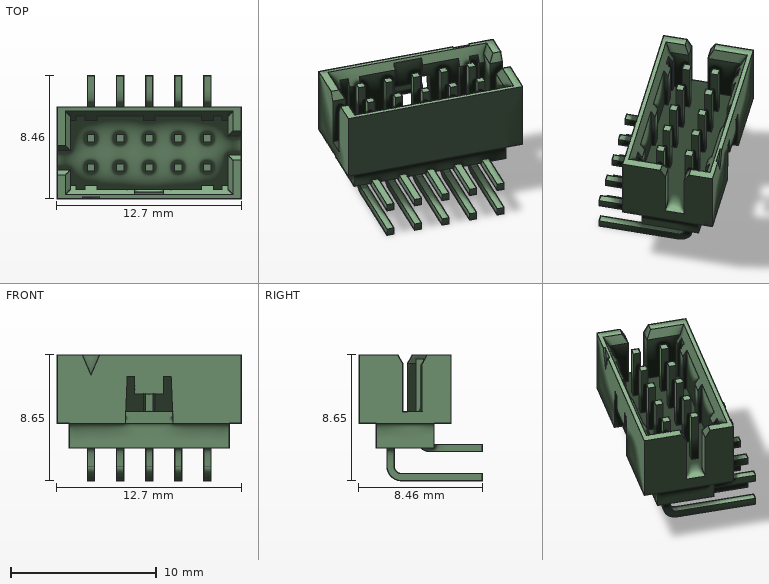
import cadquery as cq
import math


shroud_length = 12.65
shroud_width = 6.32
shroud_height = 4.7
floor_thickness = 0.81

cavity_length = 10.83
cavity_width = 5.03
flare_height = 0.6
flare_angle = 30.0
flare_run = flare_height * math.tan(math.radians(flare_angle))

base_length = 11.0
base_width = 4.0
base_height = 1.71

pin_size = 0.5
pitch = 2.0
pins_per_row = 5
pin_recess = 0.29
pin_top = shroud_height - pin_recess
tail_overhang = 2.14
tail_end = shroud_width / 2 + tail_overhang
pin_bottom = -3.95
bend_inner_radius = 0.49
bend_outer_radius = bend_inner_radius + pin_size

rib_width = 0.81
rib_depth = 0.29
rib_offset = 2 * pitch
corner_rib_start = 5.01

slot_width = 1.33
slot_offset = 0.5

window_height = 3.2
window_bottom_width = 3.29
window_top_width = 3.02
tongue_width = 2.0
tongue_bottom = 2.02
tongue_relief_depth = 0.24
tongue_ramp_top = 2.57

arrow_width = 1.19
arrow_height = 1.38
arrow_depth = 0.13

front_face = -shroud_width / 2
inner_front_face = -cavity_width / 2
row_positions = (-pitch / 2, pitch / 2)
column_positions = [(i - (pins_per_row - 1) / 2) * pitch for i in range(pins_per_row)]


def block(x_min, x_max, y_min, y_max, z_min, z_max):
    """Box given by its limits along each axis."""
    size = (x_max - x_min, y_max - y_min, z_max - z_min)
    return cq.Workplane("XY").box(*size, centered=False).translate((x_min, y_min, z_min))


def make_cavity():
    """Rectangular cavity with the guide ribs left standing on its long walls."""
    half_length = cavity_length / 2
    half_width = cavity_width / 2
    cavity = block(-half_length, half_length, -half_width, half_width, floor_thickness, shroud_height)

    side_spans = [
        (rib_offset - rib_width / 2, rib_offset + rib_width / 2),
        (corner_rib_start, half_length),
    ]
    mirrored_spans = [(-outer, -inner) for inner, outer in side_spans]
    front_spans = side_spans + mirrored_spans
    back_spans = front_spans + [(-rib_width / 2, rib_width / 2)]
    rib_face = half_width - rib_depth
    for x_min, x_max in front_spans:
        cavity = cavity.cut(block(x_min, x_max, -half_width, -rib_face, floor_thickness, shroud_height))
    for x_min, x_max in back_spans:
        cavity = cavity.cut(block(x_min, x_max, rib_face, half_width, floor_thickness, shroud_height))
    return cavity


def make_mouth_flare():
    """Sloped lead-in around the mouth of the cavity."""
    return (
        cq.Workplane("XY", origin=(0, 0, shroud_height))
        .rect(cavity_length + 2 * flare_run, cavity_width + 2 * flare_run)
        .extrude(-flare_height, taper=flare_angle)
    )


def make_rib_slopes():
    """Wedge that carries the slopes of the long walls on down over the tops of the ribs."""
    rib_slope_height = rib_depth / math.tan(math.radians(flare_angle))
    return (
        cq.Workplane("XY", origin=(0, 0, shroud_height - flare_height))
        .rect(cavity_length, cavity_width)
        .workplane(offset=-rib_slope_height)
        .rect(cavity_length, cavity_width - 2 * rib_depth)
        .loft(ruled=True)
    )


def make_end_slot(side):
    """Chamfer-mouthed slot through the end wall; side is -1 for -X and +1 for +X."""
    half_width = slot_width / 2
    shoulder = shroud_height - flare_height
    wall = (shroud_length - cavity_length) / 2
    x_start = -shroud_length / 2 if side < 0 else cavity_length / 2
    return (
        cq.Workplane("YZ", origin=(x_start, side * slot_offset, 0))
        .polyline([
            (-half_width, floor_thickness),
            (half_width, floor_thickness),
            (half_width, shoulder),
            (half_width + flare_run, shroud_height),
            (-half_width - flare_run, shroud_height),
            (-half_width, shoulder),
        ])
        .close()
        .extrude(wall)
    )


def make_latch_window():
    """Tapered window through the front wall, leaving the tongue in its upper part."""
    window = (
        cq.Workplane("XZ", origin=(0, inner_front_face, 0))
        .polyline([
            (-window_bottom_width / 2, 0),
            (window_bottom_width / 2, 0),
            (window_top_width / 2, window_height),
            (-window_top_width / 2, window_height),
        ])
        .close()
        .extrude(inner_front_face - front_face)
    )
    half_tongue = tongue_width / 2
    tongue = block(-half_tongue, half_tongue, front_face, inner_front_face, tongue_bottom, window_height)
    return window.cut(tongue)


def make_tongue_relief():
    """Pocket behind the tongue, open to the mouth, with a 45-degree ramp at its bottom."""
    relief_face = inner_front_face - tongue_relief_depth
    return (
        cq.Workplane("YZ", origin=(-tongue_width / 2, 0, 0))
        .polyline([
            (inner_front_face, tongue_ramp_top - tongue_relief_depth),
            (inner_front_face, shroud_height),
            (relief_face, shroud_height),
            (relief_face, tongue_ramp_top),
        ])
        .close()
        .extrude(tongue_width)
    )


def make_pin_one_arrow():
    """Shallow triangular recess in the front face above pin 1."""
    return (
        cq.Workplane("XZ", origin=(column_positions[0], front_face + arrow_depth, shroud_height))
        .polyline([(-arrow_width / 2, 0), (arrow_width / 2, 0), (0, -arrow_height)])
        .close()
        .extrude(arrow_depth)
    )


def make_pin(x, y, bottom):
    """Square pin that drops from the cavity and bends towards +Y at the given bottom level."""
    front = y - pin_size / 2
    back = y + pin_size / 2
    bend_y = back + bend_inner_radius
    bend_z = bottom + bend_outer_radius
    diagonal = math.sqrt(0.5)
    outer_mid = (bend_y - bend_outer_radius * diagonal, bend_z - bend_outer_radius * diagonal)
    inner_mid = (bend_y - bend_inner_radius * diagonal, bend_z - bend_inner_radius * diagonal)
    return (
        cq.Workplane("YZ", origin=(x - pin_size / 2, 0, 0))
        .moveTo(front, pin_top)
        .lineTo(front, bend_z)
        .threePointArc(outer_mid, (bend_y, bottom))
        .lineTo(tail_end, bottom)
        .lineTo(tail_end, bottom + pin_size)
        .lineTo(bend_y, bottom + pin_size)
        .threePointArc(inner_mid, (back, bend_z))
        .lineTo(back, pin_top)
        .close()
        .extrude(pin_size)
    )


shroud = (
    cq.Workplane("XY")
    .box(shroud_length, shroud_width, shroud_height, centered=(True, True, False))
    .cut(make_cavity())
    .cut(make_mouth_flare())
    .cut(make_rib_slopes())
    .cut(make_end_slot(-1))
    .cut(make_end_slot(1))
    .cut(make_latch_window())
    .cut(make_tongue_relief())
    .cut(make_pin_one_arrow())
)

base = block(-base_length / 2, base_length / 2, -base_width / 2, base_width / 2, -base_height, 0)

result = shroud.union(base)
for row, row_y in enumerate(row_positions):
    for column_x in column_positions:
        result = result.union(make_pin(column_x, row_y, pin_bottom + row * pitch))